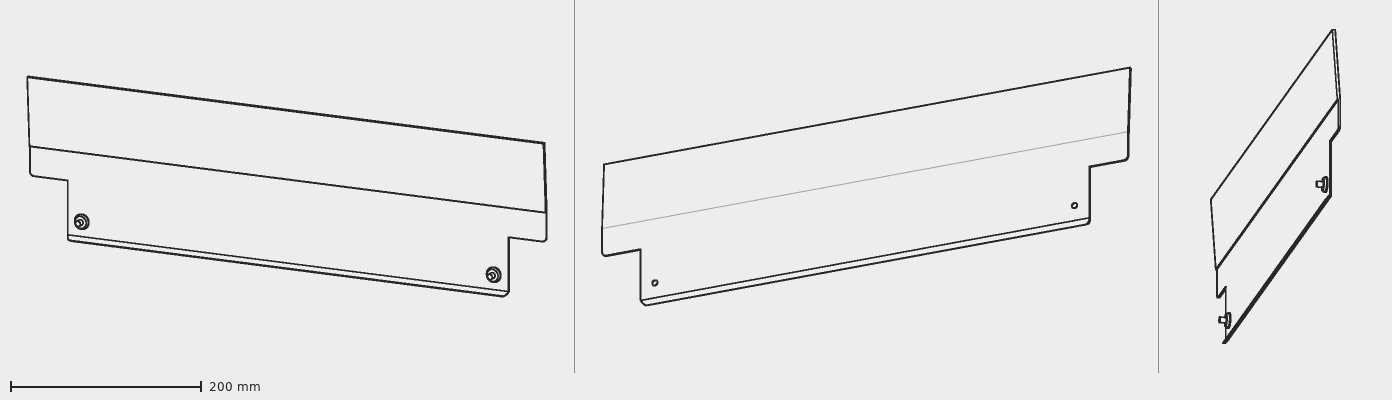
import cadquery as cq
import math

length = 599.0
height = 174.0
thickness = 2.0

upper_bend_z = 97.0
lean_angle = math.radians(4)
leaf_thickness = 3.25

lip_angle = math.radians(40)
lip_length = 6.5

notch_width = 44.0
notch_top_z = 64.5
ear_radius = 5.0
tab_radius = 7.0

stud_inset = 60.5
stud_z = 22.0
stud_length = 13.0
stud_rear_proud = 0.95
stud_diameter = 6.0
flange_diameter = 16.0
flange_face_diameter = 13.0
flange_height = 3.5
flange_rim = 1.0


def make_sheet():
    """Bent strip along the whole length, with the back of its web on Y = 0."""
    lip_bend_z = lip_length * math.cos(lip_angle)
    lip_tip = (-lip_length * math.sin(lip_angle), 0)
    lip_front_tip = (
        lip_tip[0] - thickness * math.cos(lip_angle),
        thickness * math.sin(lip_angle),
    )
    inner_lip_bend = (-thickness, lip_bend_z + thickness * math.tan(lip_angle / 2))
    inner_upper_bend = (-thickness, upper_bend_z)
    outer_upper_bend = (0, upper_bend_z + thickness * math.tan(lean_angle / 2))
    leaf_step = leaf_thickness - thickness
    leaf_front_bottom = (
        -thickness - leaf_step * math.cos(lean_angle),
        upper_bend_z - leaf_step * math.sin(lean_angle),
    )

    top_back_y = -(height - outer_upper_bend[1]) * math.tan(lean_angle)
    top_back = (top_back_y, height)
    top_front = (
        top_back_y - leaf_thickness * math.cos(lean_angle),
        height - leaf_thickness * math.sin(lean_angle),
    )
    outline = [
        lip_tip,
        (0, lip_bend_z),
        outer_upper_bend,
        top_back,
        top_front,
        leaf_front_bottom,
        inner_upper_bend,
        inner_lip_bend,
        lip_front_tip,
    ]
    return cq.Workplane("YZ").polyline(outline).close().extrude(length / 2, both=True)


def make_blank():
    """Front outline of the panel, thick enough to contain every bend."""
    ears = (
        cq.Workplane("XY")
        .box(length, height, height - notch_top_z, centered=(True, True, False))
        .translate((0, 0, notch_top_z))
        .edges("|Y and <Z")
        .fillet(ear_radius)
    )
    tab = (
        cq.Workplane("XY")
        .box(length - 2 * notch_width, height, height, centered=(True, True, False))
        .edges("|Y and <Z")
        .fillet(tab_radius)
    )
    return ears.union(tab)


def make_stud(x):
    """Round shank through the web, with a tapered flange seated on the web front."""
    shank_radius = stud_diameter / 2
    flange_back = -stud_rear_proud - thickness
    flange_front = flange_back - flange_height
    profile = [
        (0, 0),
        (shank_radius, 0),
        (shank_radius, flange_back),
        (flange_diameter / 2, flange_back),
        (flange_diameter / 2, flange_back - flange_rim),
        (flange_face_diameter / 2, flange_front),
        (shank_radius, flange_front),
        (shank_radius, -stud_length),
        (0, -stud_length),
    ]
    stud = cq.Workplane("XY").polyline(profile).close().revolve(360, (0, 0, 0), (0, 1, 0))
    return stud.translate((x, 0, stud_z))


stud_offset = length / 2 - stud_inset
studs = [make_stud(x) for x in (-stud_offset, stud_offset)]

panel = make_sheet().intersect(make_blank()).translate((0, -stud_rear_proud, 0))
for stud in studs:
    panel = panel.cut(stud)

result = cq.Compound.makeCompound([panel.val(), *[stud.val() for stud in studs]])